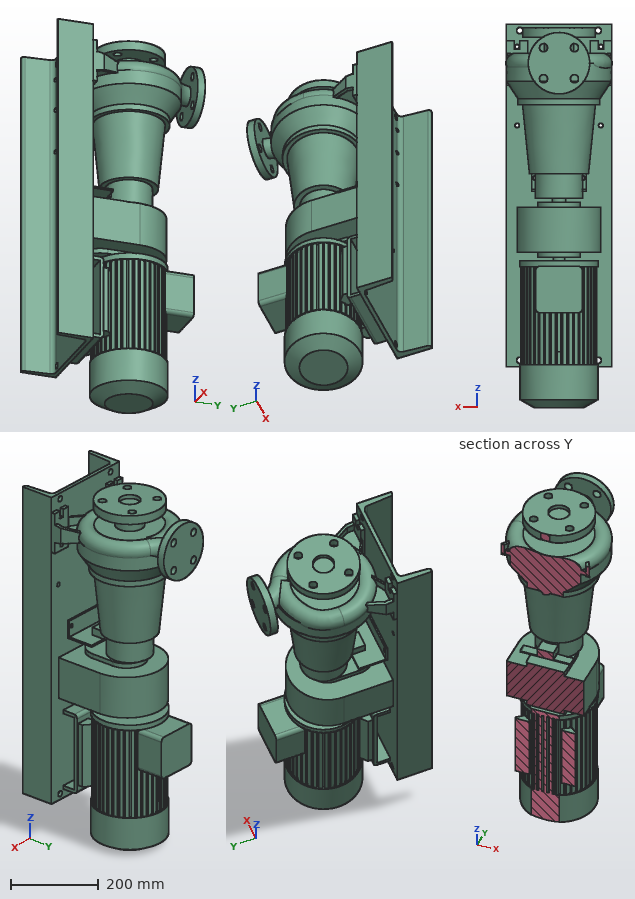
import cadquery as cq
import math


channel_length = 780.0
channel_width = 240.0
channel_depth = 85.5
web_thickness = 10.0
flange_root_thickness = 16.0
flange_tip_thickness = 10.5
channel_root_fillet = 11.0
channel_tip_fillet = 6.0
mount_y = -132.0
half_width = channel_width / 2

frame_hole_diameter = 14.0
frame_hole_x = 89.0
frame_hole_inset = 15.0
bolt_hole_diameter = 10.0
guard_hole_diameter = 6.0
guard_hole_x = 77.0
spare_hole_z = 549.0

volute_z = 690.5
tube_diameter = 46.0
tube_radius = tube_diameter / 2
volute_radius = 98.0
volute_end_radius = 92.5
spiral_end_angle = 70
casing_cover_height = 17.0
casing_radius = 120.0
casing_bottom_z = 649.5
ring_radius = 93.0
ring_top_z = 610.0
ring_bottom_z = 596.0
lantern_top_radius = 83.0
lantern_bottom_radius = 67.0
lantern_bottom_z = 439.0
bearing_radius = 54.0
bearing_bottom_z = 383.0
pump_shaft_radius = 16.0

inlet_face_z = 771.0
inlet_radius = 83.0
inlet_thickness = 22.0
inlet_bolt_circle = 125.0
inlet_neck_radius = 34.0
inlet_bore_diameter = 50.0
inlet_bore_depth = 10.0
outlet_face_y = 160.0
outlet_radius = 70.0
outlet_thickness = 18.0
outlet_bolt_circle = 99.5
flange_hole_diameter = 18.0
outlet_angle = math.degrees(2 * math.atan(volute_radius / outlet_face_y))

foot_height = 101.0
foot_thickness = 10.0
foot_inner_x = 72.0
foot_hole_x = 95.0
foot_hole_spacing = 75.0
foot_slot_width = 12.0
wall_thickness = 9.0
wall_bend_y = -105.0
wall_root_half_height = 23.0
wall_end_half_height = 13.0
wall_end_y = -65.5
wall_inside_x = 91.0
wall_inside_y = -46.0
rib_thickness = 5.0
rib_foot_y = -128.0
rib_end_x = 26.0
rib_end_y = -102.0
support_half_width = 62.0
support_thickness = 4.0
support_bottom_z = 400.0
support_leg_height = 45.0
support_inner_y = -61.0
support_hole_x = 54.0
support_hole_z = 429.5
lug_half_width = 20.0
lug_outer_y = -94.0
lug_height = 19.0

guard_z = 312.0
guard_length = 103.0
guard_radius = 95.0
guard_center_y = -10.0
guard_end_thickness = 11.0
guard_end_radius = 48.0
guard_end_low_y = -70.0

motor_radius = 89.0
motor_top_z = 242.0
motor_flange_thickness = 14.0
cover_top_z = 5.0
cover_bottom_z = -74.0
motor_bottom_z = channel_length - 873
motor_bottom_radius = 55.0
motor_shaft_radius = 13.0
groove_count = 40
fin_radius = 86.0
groove_width = 4.0
groove_depth = 4.0
duct_width = 9.0
duct_bottom_z = 35.0
box_width = 106.5
box_height = 106.0
box_top_z = 229.0
box_outer_y = 139.0
box_inner_y = 65.0
box_fillet = 10.0
motor_foot_top_z = 201.0
motor_foot_bottom_z = 44.0
motor_foot_half_width = 74.0
motor_foot_face_y = -91.0
motor_foot_thickness = 12.0
motor_foot_inner_x = 39.0
neck_top_y = -65.0
neck_top_x = 58.0

bracket_top_z = 223.5
bracket_bottom_z = 23.0
bracket_thickness = 9.0
bracket_half_width = 79.0
bracket_bend_radius = 9.0


def cuboid(x_range, y_range, z_range):
    """Box between two values on each axis."""
    (x0, x1), (y0, y1), (z0, z1) = x_range, y_range, z_range
    return cq.Workplane("XY").box(x1 - x0, y1 - y0, z1 - z0, centered=False).translate((x0, y0, z0))


def slab(points, bottom_z, top_z):
    """Polygon in X and Y extruded between two heights."""
    return cq.Workplane("XY").workplane(offset=bottom_z).polyline(points).close().extrude(top_z - bottom_z)


def holes_along_y(centers, diameter):
    """Drills along Y, at (x, z) centres, through everything close to the mounting face."""
    reach = 17.5
    drills = cq.Workplane("XZ", origin=(0, mount_y + reach, 0)).pushPoints(centers)
    return drills.circle(diameter / 2).extrude(2 * reach)


def pair(x, z):
    """Two centres, mirrored about the middle of the part."""
    return [(-x, z), (x, z)]


foot_hole_centers = [
    center
    for z in (volute_z - foot_hole_spacing / 2, volute_z + foot_hole_spacing / 2)
    for center in pair(foot_hole_x, z)
]
support_hole_centers = pair(support_hole_x, support_hole_z)


def make_channel():
    """U channel with tapered flanges, drilled for the frame, the pump and the guard."""
    web_y = mount_y - web_thickness
    tip_y = mount_y - channel_depth
    root_x = half_width - flange_root_thickness
    tip_x = half_width - flange_tip_thickness
    outline = [
        (-half_width, mount_y), (half_width, mount_y), (half_width, tip_y), (tip_x, tip_y),
        (root_x, web_y), (-root_x, web_y), (-tip_x, tip_y), (-half_width, tip_y),
    ]
    channel = slab(outline, 0, channel_length)
    mid_z = channel_length / 2
    for side in (-1, 1):
        channel = channel.edges(cq.selectors.NearestToPointSelector((side * root_x, web_y, mid_z)))
        channel = channel.fillet(channel_root_fillet)
        channel = channel.edges(cq.selectors.NearestToPointSelector((side * tip_x, tip_y, mid_z)))
        channel = channel.fillet(channel_tip_fillet)

    frame_centers = pair(frame_hole_x, frame_hole_inset)
    frame_centers += pair(frame_hole_x, channel_length - frame_hole_inset)
    bolt_centers = foot_hole_centers + support_hole_centers + pair(foot_hole_x, spare_hole_z)
    channel = channel.cut(holes_along_y(frame_centers, frame_hole_diameter))
    channel = channel.cut(holes_along_y(bolt_centers, bolt_hole_diameter))
    return channel.cut(holes_along_y(pair(guard_hole_x, guard_z), guard_hole_diameter))


def make_casing():
    """Turned part of the pump: cover, casing, lantern, bearing housing, shaft and inlet neck."""
    cover_z = volute_z + casing_cover_height
    profile = [
        (0, inlet_face_z - inlet_thickness), (inlet_neck_radius, inlet_face_z - inlet_thickness),
        (inlet_neck_radius, cover_z), (volute_end_radius, cover_z), (volute_end_radius, volute_z),
        (casing_radius, volute_z), (casing_radius, casing_bottom_z), (ring_radius, ring_top_z),
        (ring_radius, ring_bottom_z), (lantern_top_radius, ring_bottom_z),
        (lantern_bottom_radius, lantern_bottom_z), (bearing_radius, lantern_bottom_z),
        (bearing_radius, bearing_bottom_z), (pump_shaft_radius, bearing_bottom_z),
        (pump_shaft_radius, guard_z + guard_length / 2 + guard_end_thickness),
        (0, guard_z + guard_length / 2 + guard_end_thickness),
    ]
    return cq.Workplane("XZ").polyline(profile).close().revolve(360, (0, 0, 0), (0, 1, 0))


def polar(radius, degrees):
    """Point in the volute plane."""
    angle = math.radians(degrees)
    return cq.Vector(radius * math.cos(angle), radius * math.sin(angle), volute_z)


def tube_along(path, start, direction):
    """Round tube, filled, swept along a path edge."""
    section = cq.Workplane(cq.Plane(origin=start.toTuple(), normal=direction.toTuple()))
    return section.circle(tube_radius).sweep(cq.Workplane("XY").newObject([cq.Wire.assembleEdges([path])]))


def make_volute():
    """Volute ring, the spiral that closes it and the bent pipe to the outlet flange."""
    ring = cq.Workplane("XZ").center(volute_radius, volute_z).circle(tube_radius)
    ring = ring.revolve(180 + outlet_angle, (-volute_radius, 0, 0), (-volute_radius, -1, 0))
    ring = ring.rotate((0, 0, 0), (0, 0, 1), outlet_angle)

    spiral_start = polar(volute_radius, 180)
    spiral_end = polar(volute_end_radius, spiral_end_angle)
    middle_angle = (180 + spiral_end_angle) / 2
    spiral_middle = polar((volute_radius + volute_end_radius) / 2, middle_angle)
    start_direction = cq.Vector(0, 1, 0)
    end_direction = polar(9, spiral_end_angle - 90) - cq.Vector(0, 0, volute_z)
    spiral_path = cq.Edge.makeSpline(
        [spiral_start, spiral_middle, spiral_end], tangents=[start_direction, end_direction])
    spiral = tube_along(spiral_path, spiral_start, start_direction)

    pipe_start = cq.Vector(0, outlet_face_y, volute_z)
    pipe_direction = cq.Vector(0, -1, 0)
    pipe_path = cq.Edge.makeTangentArc(pipe_start, pipe_direction, polar(volute_radius, outlet_angle))
    pipe = tube_along(pipe_path, pipe_start, pipe_direction)
    return [ring, spiral, pipe]


def pipe_flange(plane, radius, thickness, bolt_circle):
    """Round flange grown backwards from its face, with four holes off its centre lines."""
    flange = cq.Workplane(plane).circle(radius).extrude(-thickness)
    drills = cq.Workplane(plane).polarArray(bolt_circle / 2, 45, 360, 4)
    return flange.cut(drills.circle(flange_hole_diameter / 2).extrude(-thickness))


def make_foot():
    """Foot on the +X side: drilled and slotted pad, bent outer wall, inner rib and the web between them."""
    pad_y = mount_y + foot_thickness
    half_height = foot_height / 2
    pad_heights = (volute_z - half_height, volute_z + half_height)
    pad = cuboid((foot_inner_x, half_width), (mount_y, pad_y), pad_heights)

    wall_inner_x = half_width - wall_thickness
    wall = [
        (half_width, pad_y), (half_width, wall_bend_y), (wall_inside_x, wall_inside_y),
        (wall_inside_x - wall_thickness, wall_inside_y), (wall_inner_x, wall_bend_y), (wall_inner_x, pad_y),
    ]
    rib = [
        (foot_inner_x, rib_foot_y), (foot_inner_x, rib_foot_y + rib_thickness),
        (rib_end_x, rib_end_y + rib_thickness), (rib_end_x, rib_end_y),
    ]
    top_z = volute_z + wall_root_half_height
    bottom_z = volute_z - wall_root_half_height
    arms = slab(wall, bottom_z, top_z).union(slab(rib, bottom_z, top_z))
    taper = [
        (pad_y, bottom_z), (pad_y, top_z),
        (wall_end_y, volute_z + wall_end_half_height), (0, volute_z + wall_end_half_height),
        (0, volute_z - wall_end_half_height), (wall_end_y, volute_z - wall_end_half_height),
    ]
    arms = arms.intersect(cq.Workplane("YZ").polyline(taper).close().extrude(half_width))

    web_outline = [
        (wall_inner_x, pad_y), (wall_inner_x, wall_bend_y), (wall_inside_x, wall_end_y),
        (rib_end_x, rib_end_y + rib_thickness), (foot_inner_x, rib_foot_y + rib_thickness),
        (foot_inner_x, pad_y),
    ]
    web = slab(web_outline, volute_z - wall_end_half_height, volute_z)
    upper_hole_z = volute_z + foot_hole_spacing / 2
    slot = cuboid(
        (foot_hole_x - foot_slot_width / 2, foot_hole_x + foot_slot_width / 2),
        (mount_y, pad_y),
        (upper_hole_z - foot_slot_width / 2, volute_z + half_height),
    )
    foot = pad.cut(slot).union(arms).union(web)
    return foot.cut(holes_along_y(foot_hole_centers, bolt_hole_diameter))


def make_bearing_support():
    """Angle bracket on the channel with a lug that carries the bearing housing."""
    widths = (-support_half_width, support_half_width)
    shelf_top_z = support_bottom_z + support_thickness
    shelf = cuboid(widths, (mount_y, support_inner_y), (support_bottom_z, shelf_top_z))
    leg = cuboid(widths, (mount_y, mount_y + support_thickness),
                 (support_bottom_z, support_bottom_z + support_leg_height))
    lug = cuboid((-lug_half_width, lug_half_width), (lug_outer_y, 0), (shelf_top_z, shelf_top_z + lug_height))
    return shelf.union(leg).union(lug).cut(holes_along_y(support_hole_centers, bolt_hole_diameter))


def make_pump():
    """Complete pump as one solid."""
    pump = make_casing()
    for tube in make_volute():
        pump = pump.union(tube)

    inlet_plane = cq.Plane(origin=(0, 0, inlet_face_z))
    pump = pump.union(pipe_flange(inlet_plane, inlet_radius, inlet_thickness, inlet_bolt_circle))
    bore = cq.Workplane(inlet_plane).circle(inlet_bore_diameter / 2).extrude(-inlet_bore_depth)
    pump = pump.cut(bore)

    outlet_plane = cq.Plane(origin=(0, outlet_face_y, volute_z), xDir=(1, 0, 0), normal=(0, 1, 0))
    pump = pump.union(pipe_flange(outlet_plane, outlet_radius, outlet_thickness, outlet_bolt_circle))

    foot = make_foot()
    return pump.union(foot).union(foot.mirror("YZ")).union(make_bearing_support())


def make_guard():
    """Round-topped coupling guard standing on the channel, with an oblong boss on each end."""
    bottom_z = guard_z - guard_length / 2
    guard = (
        cq.Workplane("XY", origin=(0, 0, bottom_z))
        .moveTo(-guard_radius, mount_y)
        .lineTo(guard_radius, mount_y)
        .lineTo(guard_radius, guard_center_y)
        .threePointArc((0, guard_center_y + guard_radius), (-guard_radius, guard_center_y))
        .close()
        .extrude(guard_length)
    )
    boss_length = guard_center_y - guard_end_low_y + 2 * guard_end_radius
    boss_y = (guard_center_y + guard_end_low_y) / 2
    bosses = (
        cq.Workplane("XY", origin=(0, boss_y, bottom_z - guard_end_thickness))
        .slot2D(boss_length, 2 * guard_end_radius, 90)
        .extrude(guard_length + 2 * guard_end_thickness)
    )
    return guard.union(bosses)


def make_motor():
    """Grooved motor with its shaft, fan cover, terminal box and feet."""
    flange_bottom_z = motor_top_z - motor_flange_thickness
    shaft_end_z = guard_z - guard_length / 2 - guard_end_thickness
    profile = [
        (0, shaft_end_z), (motor_shaft_radius, shaft_end_z), (motor_shaft_radius, motor_top_z),
        (motor_radius, motor_top_z), (motor_radius, flange_bottom_z),
        (fin_radius, flange_bottom_z), (fin_radius, cover_top_z),
        (motor_radius, cover_top_z), (motor_radius, cover_bottom_z),
        (motor_bottom_radius, motor_bottom_z), (0, motor_bottom_z),
    ]
    motor = cq.Workplane("XZ").polyline(profile).close().revolve(360, (0, 0, 0), (0, 1, 0))

    pitch = 360 / groove_count
    grooves = (
        cq.Workplane("XY", origin=(0, 0, cover_top_z))
        .polarArray(fin_radius, pitch / 2, 360, groove_count)
        .rect(2 * groove_depth, groove_width)
        .extrude(flange_bottom_z - cover_top_z)
    )
    motor = motor.cut(grooves)

    box_heights = (box_top_z - box_height, box_top_z)
    box = cuboid((-box_width / 2, box_width / 2), (box_inner_y, box_outer_y), box_heights)
    duct = cuboid((-duct_width / 2, duct_width / 2), (box_inner_y, motor_radius), (duct_bottom_z, box_top_z))
    motor = motor.union(duct).union(box.edges("|Y").fillet(box_fillet))

    pad_top_y = motor_foot_face_y + motor_foot_thickness
    foot_outline = [
        (motor_foot_inner_x, neck_top_y), (neck_top_x, neck_top_y),
        (motor_foot_half_width, pad_top_y), (motor_foot_half_width, motor_foot_face_y),
        (motor_foot_inner_x, motor_foot_face_y),
    ]
    foot = slab(foot_outline, motor_foot_bottom_z, motor_foot_top_z)
    return motor.union(foot).union(foot.mirror("YZ"))


def make_motor_bracket():
    """Bent plate: its back carries the motor feet and its two legs stand on the channel."""
    back_y = motor_foot_face_y
    widths = (-bracket_half_width, bracket_half_width)
    bracket = cuboid(widths, (mount_y, back_y), (bracket_bottom_z, bracket_top_z))
    bracket = bracket.edges("|X and >Y").fillet(bracket_bend_radius)
    opening = cuboid(
        widths,
        (mount_y, back_y - bracket_thickness),
        (bracket_bottom_z + bracket_thickness, bracket_top_z - bracket_thickness),
    )
    return bracket.cut(opening)


channel = make_channel()
pump = make_pump()
guard = make_guard()
motor = make_motor()
motor_bracket = make_motor_bracket()

result = cq.Compound.makeCompound([
    channel.val(),
    pump.val(),
    guard.val(),
    motor.val(),
    motor_bracket.val(),
])